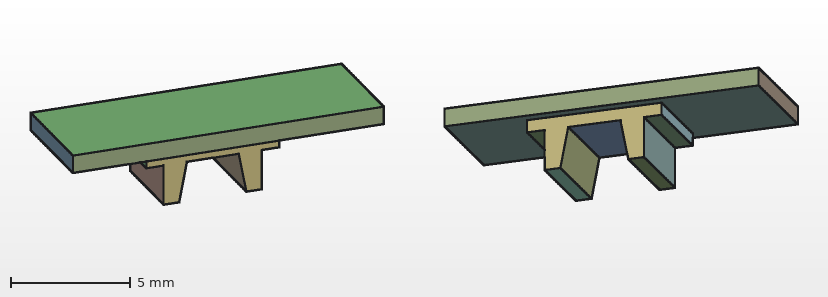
import cadquery as cq

plate_width = 4.85
plate_length = 14
plate_thickness = 0.8

total_height = 3.14
mount_width = 3.84
mount_center_y = -0.5
pad_length = 5.99
pad_thickness = 0.55
leg_height = total_height - plate_thickness - pad_thickness

leg_span = 4.42
leg_root = 1.05
leg_tip = 0.7

pad_top = -plate_thickness
pad_bottom = pad_top - pad_thickness
leg_bottom = pad_bottom - leg_height


def make_plate():
    """Flat plate with its top face at Z = 0."""
    return cq.Workplane("XY").box(
        plate_width, plate_length, plate_thickness, centered=(True, True, False)
    ).translate((0, 0, -plate_thickness))


def make_pad():
    """Rectangular pad joining the legs to the plate."""
    return cq.Workplane("XY").box(
        mount_width, pad_length, pad_thickness, centered=(True, True, False)
    ).translate((0, mount_center_y, pad_bottom))


def make_leg(side):
    """Tapered leg on the +Y (side = 1) or -Y (side = -1) end of the pad."""
    outer = leg_span / 2
    profile = [
        (outer, pad_bottom),
        (outer, leg_bottom),
        (outer - leg_tip, leg_bottom),
        (outer - leg_root, pad_bottom),
    ]
    points = [(mount_center_y + side * y, z) for y, z in profile]
    return cq.Workplane("YZ").polyline(points).close().extrude(mount_width / 2, both=True)


result = make_plate().union(make_pad())
for side in (-1, 1):
    result = result.union(make_leg(side))